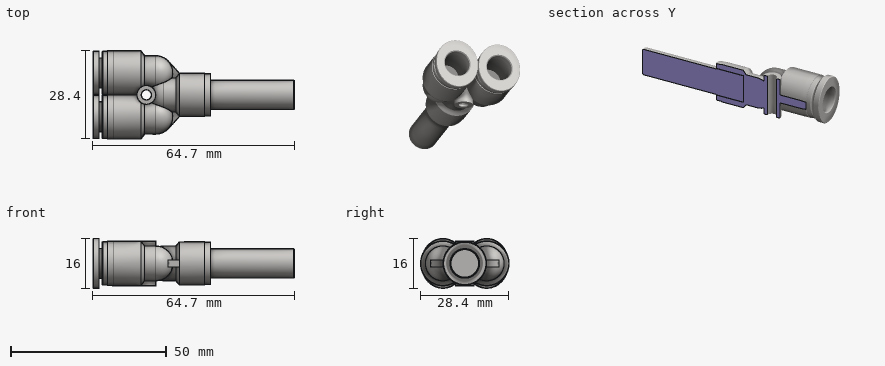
import cadquery as cq
import math

length = 64.7
pitch = 14.05
socket_sides = (-1, 1)

flange_height = 16.0
flange_width = 14.0
flange_thickness = 2.0
flange_chamfer = 0.2
sleeve_diameter = 9.7
sleeve_end = 4.65
bore_diameter = 8.2
bore_chamfer = 0.3

rim_start = 3.0
rim_diameter = 14.0
rim_chamfer = 0.2
barrel_start = 4.7
barrel_start_diameter = 14.3
barrel_full = 6.6
barrel_diameter = 14.35
barrel_end = 15.4
neck_diameter = 11.2
neck_start = 16.55
neck_dome_center = 20.1
bore_end = 12.95

trunk_dome_center = 22.65
collar_diameter = 13.9
trunk_end = 26.6
collar_start = 27.75
lip_start = 35.8
lip_end = 37.7
lip_diameter = 13.6

boss_center = 17.15
boss_diameter = 6.0
boss_height = barrel_diameter
boss_hole_diameter = 3.2
web_thickness = 2.2
web_angle = 45.0

stem_diameter = 9.5
stem_chamfer = 0.3
stem_start = collar_start


def cylinder(diameter, start, end):
    """Cylinder along the X axis."""
    return cq.Workplane("YZ", origin=(start, 0, 0)).circle(diameter / 2).extrude(end - start)


def revolve_about_x(outline):
    """Revolve a closed outline, drawn as X against radius, about the X axis."""
    return outline.close().revolve(360, (0, 0, 0), (1, 0, 0))


def at_socket(shape, side):
    return shape.translate((0, side * pitch / 2, 0))


def make_barrel():
    """Stepped barrel, narrower neck and hemispherical end of one socket."""
    neck_radius = neck_diameter / 2
    arc_offset = neck_radius * math.sqrt(0.5)
    outline = (
        cq.Workplane("XY")
        .moveTo(rim_start, 0)
        .lineTo(rim_start, rim_diameter / 2 - rim_chamfer)
        .lineTo(rim_start + rim_chamfer, rim_diameter / 2)
        .lineTo(barrel_start, rim_diameter / 2)
        .lineTo(barrel_start, barrel_start_diameter / 2)
        .lineTo(barrel_full, barrel_diameter / 2)
        .lineTo(barrel_end, barrel_diameter / 2)
        .lineTo(neck_start, neck_radius)
        .lineTo(neck_dome_center, neck_radius)
        .threePointArc(
            (neck_dome_center + arc_offset, arc_offset),
            (neck_dome_center + neck_radius, 0),
        )
    )
    return revolve_about_x(outline)


def make_trunk():
    """Domed trunk that widens into the collar and its end lip."""
    trunk_radius = neck_diameter / 2
    arc_offset = trunk_radius * math.sqrt(0.5)
    outline = (
        cq.Workplane("XY")
        .moveTo(trunk_dome_center - trunk_radius, 0)
        .threePointArc(
            (trunk_dome_center - arc_offset, arc_offset),
            (trunk_dome_center, trunk_radius),
        )
        .lineTo(trunk_end, trunk_radius)
        .lineTo(collar_start, collar_diameter / 2)
        .lineTo(lip_start, collar_diameter / 2)
        .lineTo(lip_start, lip_diameter / 2)
        .lineTo(lip_end, lip_diameter / 2)
        .lineTo(lip_end, 0)
    )
    return revolve_about_x(outline)


def make_web():
    """Flat plate filling the corners between the socket domes and the collar."""
    angle = math.radians(web_angle)
    dome_x = neck_dome_center + neck_diameter / 2 * math.cos(angle)
    dome_y = pitch / 2 + neck_diameter / 2 * math.sin(angle)
    outline = [
        (neck_dome_center, -pitch / 2),
        (dome_x, -dome_y),
        (collar_start, -collar_diameter / 2),
        (collar_start, collar_diameter / 2),
        (dome_x, dome_y),
        (neck_dome_center, pitch / 2),
    ]
    return cq.Workplane("XY").polyline(outline).close().extrude(web_thickness / 2, both=True)


def make_boss_cylinder(diameter):
    """Vertical cylinder on the boss axis, as tall as the boss."""
    profile = cq.Workplane("XY").center(boss_center, 0).circle(diameter / 2)
    return profile.extrude(boss_height / 2, both=True)


def make_housing():
    housing = make_trunk().union(make_web()).union(make_boss_cylinder(boss_diameter))
    for side in socket_sides:
        housing = housing.union(at_socket(make_barrel(), side))
    for side in socket_sides:
        sleeve_seat = cylinder(sleeve_diameter, rim_start, sleeve_end)
        tube_bore = cylinder(bore_diameter, rim_start, bore_end)
        housing = housing.cut(at_socket(sleeve_seat.union(tube_bore), side))
    housing = housing.cut(make_boss_cylinder(boss_hole_diameter))
    return housing.cut(cylinder(stem_diameter, stem_start, lip_end))


def make_sleeve(side):
    """Release sleeve with an oval flange and a through bore."""
    flange = (
        cq.Workplane("YZ")
        .ellipse(flange_width / 2, flange_height / 2)
        .extrude(flange_thickness)
        .faces("<X")
        .chamfer(flange_chamfer)
    )
    sleeve = flange.union(cylinder(sleeve_diameter, flange_thickness, sleeve_end))
    sleeve = sleeve.cut(cylinder(bore_diameter, 0, sleeve_end))
    sleeve = sleeve.faces("<X").edges("%CIRCLE").chamfer(bore_chamfer)
    return at_socket(sleeve, side)


def make_stem():
    return cylinder(stem_diameter, stem_start, length).faces(">X").chamfer(stem_chamfer)


housing = make_housing()
sleeves = [make_sleeve(side) for side in socket_sides]
stem = make_stem()

result = cq.Compound.makeCompound([housing.val(), *[sleeve.val() for sleeve in sleeves], stem.val()])